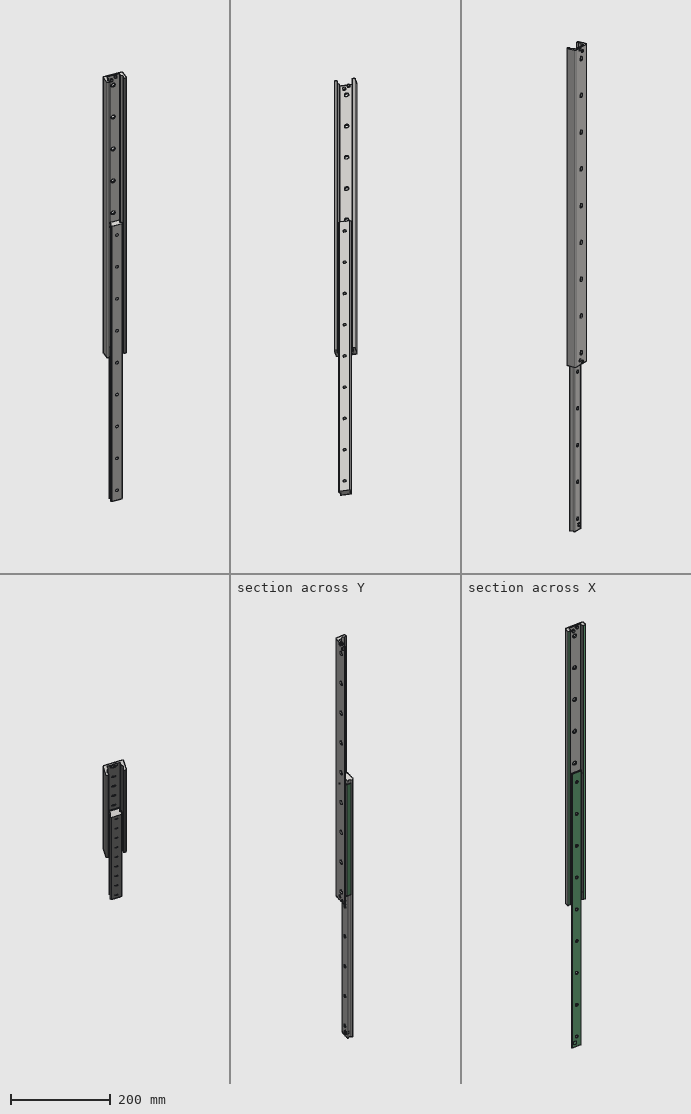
import cadquery as cq
import math


member_length = 690.0
total_length = 1053.0
hole_pitch = 80.0
holes_per_member = 9

track_x = 14.2
track_y = 12.5
track_radius = 4.5

rail_depth = 22.0
rail_width = 43.0
rail_corner_radius = 2.5
web_thickness = 3.5
rail_inner_width = 27.4
rail_mouth_width = 31.2
rail_hole_diameter = 9.0

slider_back_x = 8.5
slider_nose_half_width = 11.5
slider_nose_radius = 1.0
slider_nose_turn = math.radians(145)
slider_track_radius = 3.5
slider_track_end = math.radians(50)
slider_lip_half_width = 12.5
slider_lip_slope = math.radians(30)
slider_lip_chamfer = 2.0
slider_hole_diameter = 6.0
slider_hole_mouth_diameter = 7.0

cage_back_x = 5.0
cage_arm_tip_x = 16.0
cage_width = 26.4
cage_thickness = 1.0
cage_top_gap = 7.0
cage_length = 300.0

stop_diameter = 6.0
stop_y = 4.5
near_stop_offset = 4.0
far_stop_offset = 10.0
rail_stop_tip_x = 6.5
socket_diameter = 3.0
socket_depth = 3.0

stop_block_size = 6.0
stop_block_tip_x = 6.0
stop_block_end_x = 14.0
stop_block_offset = 11.0

rail_bottom_z = -member_length
slider_bottom_z = -total_length
slider_top_z = slider_bottom_z + member_length


def x_cylinder(diameter, x_start, x_end, y, z):
    """Cylinder along X between two X positions."""
    return (
        cq.Workplane("YZ", origin=(x_start, y, z))
        .circle(diameter / 2)
        .extrude(x_end - x_start)
    )


def hole_heights(bottom_z):
    """Z of the mounting holes, centred along a member that ends at bottom_z."""
    lowest = bottom_z + (member_length - (holes_per_member - 1) * hole_pitch) / 2
    return [lowest + i * hole_pitch for i in range(holes_per_member)]


def ball_tracks():
    """The two round ball tracks over the length of the rail."""
    return (
        cq.Workplane("XY")
        .pushPoints([(track_x, track_y), (track_x, -track_y)])
        .circle(track_radius)
        .extrude(-member_length)
    )


rail_pin_places = [
    (stop_y, -near_stop_offset),
    (stop_y, rail_bottom_z + far_stop_offset),
]
rail_screw_places = [
    (-stop_y, -far_stop_offset),
    (-stop_y, rail_bottom_z + near_stop_offset),
]


def make_rail():
    """C-shaped rail, open towards +X, with ball tracks inside its flanges."""
    body = (
        cq.Workplane("XY")
        .rect(rail_depth, rail_width)
        .extrude(-member_length)
        .translate((rail_depth / 2, 0, 0))
        .edges("|Z")
        .fillet(rail_corner_radius)
    )
    channel = (
        cq.Workplane("XY")
        .center((web_thickness + rail_depth) / 2, 0)
        .rect(rail_depth - web_thickness, rail_inner_width)
        .extrude(-member_length)
    )
    mouth = (
        cq.Workplane("XY")
        .center((track_x + rail_depth) / 2, 0)
        .rect(rail_depth - track_x, rail_mouth_width)
        .extrude(-member_length)
    )
    body = body.cut(channel).cut(mouth).cut(ball_tracks())
    for z in hole_heights(rail_bottom_z):
        body = body.cut(x_cylinder(rail_hole_diameter, 0, web_thickness, 0, z))
    for y, z in rail_pin_places + rail_screw_places:
        body = body.cut(x_cylinder(stop_diameter, 0, web_thickness, y, z))
    return body


def slider_outline():
    """Closed section of the slider: rounded nose, ball track and sloped lip on each side."""
    nose_x = slider_back_x + slider_nose_radius
    nose_y = slider_nose_half_width - slider_nose_radius
    lean = slider_nose_turn - math.pi / 2
    reach = slider_nose_radius + slider_track_radius
    centre_x = nose_x + reach * math.sin(lean)
    centre_y = nose_y + reach * math.cos(lean)

    def on_nose(angle):
        return (
            nose_x + slider_nose_radius * math.sin(angle),
            nose_y + slider_nose_radius * math.cos(angle),
        )

    def on_track(angle):
        return (
            centre_x + slider_track_radius * math.sin(angle),
            centre_y - slider_track_radius * math.cos(angle),
        )

    track_end = on_track(slider_track_end)
    lip_x = track_end[0] + (slider_lip_half_width - track_end[1]) / math.tan(slider_lip_slope)
    nose_start = (slider_back_x, nose_y)
    lip_corner = (rail_depth - slider_lip_chamfer, slider_lip_half_width)
    chamfer_end = (rail_depth, slider_lip_half_width - slider_lip_chamfer)

    def mirrored(point):
        return (point[0], -point[1])

    nose_middle = on_nose((lean - math.pi / 2) / 2)
    nose_end = on_nose(lean)
    track_middle = on_track((slider_track_end - lean) / 2)
    lip_start = (lip_x, slider_lip_half_width)
    return (
        cq.Workplane("XY", origin=(0, 0, slider_top_z))
        .moveTo(*nose_start)
        .threePointArc(nose_middle, nose_end)
        .threePointArc(track_middle, track_end)
        .lineTo(*lip_start)
        .lineTo(*lip_corner)
        .lineTo(*chamfer_end)
        .lineTo(*mirrored(chamfer_end))
        .lineTo(*mirrored(lip_corner))
        .lineTo(*mirrored(lip_start))
        .lineTo(*mirrored(track_end))
        .threePointArc(mirrored(track_middle), mirrored(nose_end))
        .threePointArc(mirrored(nose_middle), mirrored(nose_start))
        .close()
    )


def make_slider():
    """Solid sliding bar with a row of holes and a pocket for the stop block."""
    body = slider_outline().extrude(-member_length)
    mouth_depth = (slider_hole_mouth_diameter - slider_hole_diameter) / 2
    for z in hole_heights(slider_bottom_z):
        body = body.cut(x_cylinder(slider_hole_diameter, slider_back_x, rail_depth, 0, z))
        body = body.cut(
            x_cylinder(slider_hole_mouth_diameter, slider_back_x, slider_back_x + mouth_depth, 0, z)
        )
    return body.cut(make_stop_block())


def make_rail_pin(y, z):
    """Plain stop pin through the rail web."""
    return x_cylinder(stop_diameter, 0, rail_stop_tip_x, y, z)


def make_rail_screw(y, z):
    """Stop screw through the rail web, with a socket in its outer end."""
    socket = x_cylinder(socket_diameter, 0, socket_depth, y, z)
    return x_cylinder(stop_diameter, 0, rail_stop_tip_x, y, z).cut(socket)


def make_stop_block():
    """Square block set into the back of the slider near its lower end."""
    return (
        cq.Workplane("YZ", origin=(stop_block_tip_x, -stop_y, slider_bottom_z + stop_block_offset))
        .rect(stop_block_size, stop_block_size)
        .extrude(stop_block_end_x - stop_block_tip_x)
    )


def make_cage():
    """U-shaped strip whose arms reach into the ball tracks."""
    depth = cage_arm_tip_x - cage_back_x
    strip = cq.Workplane("XY", origin=(cage_back_x, 0, slider_top_z - cage_top_gap))
    outer = strip.center(depth / 2, 0).rect(depth, cage_width).extrude(-cage_length)
    inner = (
        strip.center((depth + cage_thickness) / 2, 0)
        .rect(depth - cage_thickness, cage_width - 2 * cage_thickness)
        .extrude(-cage_length)
    )
    return outer.cut(inner)


rail = make_rail()
slider = make_slider()
rail_pins = [make_rail_pin(y, z) for y, z in rail_pin_places]
rail_screws = [make_rail_screw(y, z) for y, z in rail_screw_places]
stop_block = make_stop_block()
cage = make_cage()

bodies = [rail, slider, cage, stop_block, *rail_pins, *rail_screws]
result = cq.Compound.makeCompound([body.val() for body in bodies])